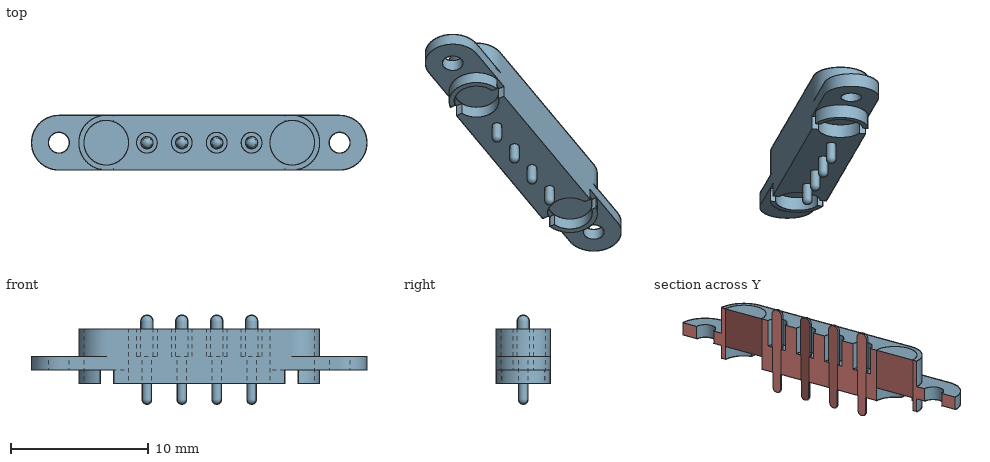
import cadquery as cq
import math

width = 4.0
end_radius = width / 2
flange_length = 24.44
flange_thickness = 1.0
top_z = 3.0
bottom_z = -1.0
magnet_x = 6.77
core_length = 2 * magnet_x + width
mount_hole_x = flange_length / 2 - end_radius
mount_hole_diameter = 1.5

slot_inner_x = 6.24
slot_outer_x = 7.2
slot_width = slot_outer_x - slot_inner_x

magnet_diameter = 3.25
magnet_bottom_z = 0

pin_count = 4
pin_pitch = 2.54
plunger_diameter = 0.9
tail_diameter = 0.7
plunger_height = 1.0
tail_height = 1.5
pin_top_z = top_z + plunger_height
pin_bottom_z = bottom_z - tail_height
well_diameter = 1.51
well_floor_z = flange_thickness

pin_positions = [(i - (pin_count - 1) / 2) * pin_pitch for i in range(pin_count)]
magnet_positions = [-magnet_x, magnet_x]


def rounded_bar(length, z_low, z_high):
    """Bar along X with full-round ends."""
    return cq.Workplane("XY", origin=(0, 0, z_low)).slot2D(length, width).extrude(z_high - z_low)


def cylinder(x, diameter, z_low, z_high):
    """Vertical cylinder on the centre line of the part."""
    return cq.Workplane("XY", origin=(x, 0, z_low)).circle(diameter / 2).extrude(z_high - z_low)


def make_housing():
    core = rounded_bar(core_length, bottom_z, top_z)
    body = core.union(rounded_bar(flange_length, 0, flange_thickness))

    slot_center_x = (slot_inner_x + slot_outer_x) / 2
    for x in (-slot_center_x, slot_center_x):
        slot = cq.Workplane("XY", origin=(x, 0, bottom_z)).rect(slot_width, width).extrude(-bottom_z)
        body = body.cut(slot)

    for x in (-mount_hole_x, mount_hole_x):
        body = body.cut(cylinder(x, mount_hole_diameter, 0, flange_thickness))

    for x in magnet_positions:
        body = body.cut(cylinder(x, magnet_diameter, bottom_z, top_z))

    for x in pin_positions:
        body = body.cut(cylinder(x, well_diameter, well_floor_z, top_z))
        body = body.cut(cylinder(x, tail_diameter, bottom_z, well_floor_z))
    return body


def make_magnet(x):
    """Cylindrical magnet, flush with the housing top."""
    return cylinder(x, magnet_diameter, magnet_bottom_z, top_z)


def make_pin(x):
    """Stepped pin with hemispherical ends, its shoulder resting on the well floor."""
    plunger_radius = plunger_diameter / 2
    tail_radius = tail_diameter / 2
    plunger_dome_z = pin_top_z - plunger_radius
    tail_dome_z = pin_bottom_z + tail_radius
    diagonal = math.sqrt(0.5)
    half_profile = (
        cq.Workplane("XZ", origin=(x, 0, 0))
        .moveTo(0, pin_bottom_z)
        .threePointArc(
            (tail_radius * diagonal, tail_dome_z - tail_radius * diagonal),
            (tail_radius, tail_dome_z),
        )
        .lineTo(tail_radius, well_floor_z)
        .lineTo(plunger_radius, well_floor_z)
        .lineTo(plunger_radius, plunger_dome_z)
        .threePointArc(
            (plunger_radius * diagonal, plunger_dome_z + plunger_radius * diagonal),
            (0, pin_top_z),
        )
        .close()
    )
    return half_profile.revolve(360, (0, 0), (0, 1))


housing = make_housing()
magnets = [make_magnet(x) for x in magnet_positions]
pins = [make_pin(x) for x in pin_positions]

result = cq.Compound.makeCompound([body.solids().val() for body in [housing, *magnets, *pins]])